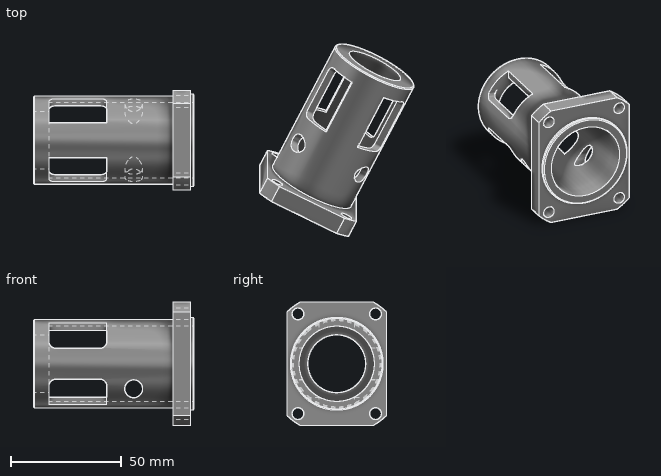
import cadquery as cq

total_length = 72.5
flange_start = 63.0
flange_thickness = 8.0
flange_end = flange_start + flange_thickness

barrel_diameter = 40.0
spigot_diameter = 42.0
mouth_diameter = 26.0
bore_diameter = 34.0
mouth_depth = 7.0
edge_chamfer = 0.5

flange_width = 45.0
flange_height = 56.0
flange_corner_diameter = 64.95
bolt_hole_diameter = 5.2
bolt_spacing_y = 35.0
bolt_spacing_z = flange_width

window_start = mouth_depth
window_length = mouth_diameter
window_inner_y = 8.0
window_inner_z = 7.0
window_corner_radius = 3.0

cross_hole_diameter = 8.0
cross_hole_x = 45.25
cross_hole_z = -11.3


def rod(start, end, diameter):
    """Cylinder on the X axis between two X positions."""
    return cq.Workplane("YZ", origin=(start, 0, 0)).circle(diameter / 2).extrude(end - start)


def make_flange():
    """Rectangular plate whose corners are trimmed by a larger circle."""
    plate = (
        cq.Workplane("YZ", origin=(flange_start, 0, 0))
        .rect(flange_width, flange_height)
        .extrude(flange_thickness)
    )
    plate = plate.intersect(rod(flange_start, flange_end, flange_corner_diameter))
    bolt_holes = (
        cq.Workplane("YZ", origin=(flange_start, 0, 0))
        .rect(bolt_spacing_y, bolt_spacing_z, forConstruction=True)
        .vertices()
        .circle(bolt_hole_diameter / 2)
        .extrude(flange_thickness)
    )
    return plate.cut(bolt_holes)


def make_window(side_y, side_z):
    """Cutter for one quadrant, rounded along Y at its edges nearest the XY plane."""
    reach = barrel_diameter / 2
    size_y = reach - window_inner_y
    size_z = reach - window_inner_z
    cutter = (
        cq.Workplane("XY")
        .box(window_length, size_y, size_z)
        .edges("|Y and " + ("<Z" if side_z > 0 else ">Z"))
        .fillet(window_corner_radius)
    )
    return cutter.translate((
        window_start + window_length / 2,
        side_y * (window_inner_y + size_y / 2),
        side_z * (window_inner_z + size_z / 2),
    ))


barrel = rod(0, flange_start, barrel_diameter).faces("<X").chamfer(edge_chamfer)
spigot = rod(flange_end, total_length, spigot_diameter).faces(">X").chamfer(edge_chamfer)
body = barrel.union(make_flange()).union(spigot)

body = body.cut(rod(0, mouth_depth, mouth_diameter))
body = body.cut(rod(mouth_depth, total_length, bore_diameter))

for side_y in (-1, 1):
    for side_z in (-1, 1):
        body = body.cut(make_window(side_y, side_z))

cross_hole = (
    cq.Workplane("XZ")
    .center(cross_hole_x, cross_hole_z)
    .circle(cross_hole_diameter / 2)
    .extrude(barrel_diameter / 2, both=True)
)
result = body.cut(cross_hole)